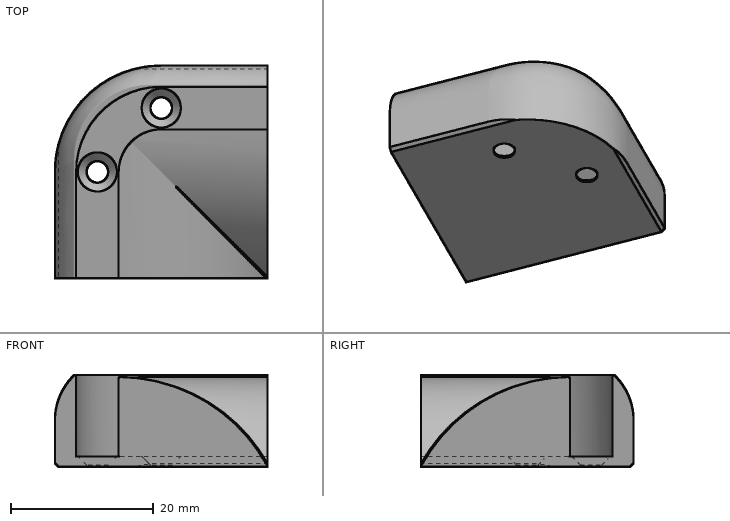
import cadquery as cq
import math

size = 29.98
height = 12.95
corner_radius = 15.0
bottom_chamfer = 0.5

shoulder_radius = 8.8
shoulder_start = 6.57
shoulder_sections = 6
center_shift = 0.63

wall = 3.0
channel_width = 6.0
floor = 1.5

island_inset = wall + channel_width
island_top = 12.65
island_tip = 0.1
edge_round = 0.18

hole_diameter = 3.0
countersink_diameter = 5.52
countersink_angle = 90


def outline(z, inset, center):
    """Square outline with one round corner, whose arc center is `center` from both outer sides."""
    radius = center - inset
    arc_mid = center - radius * math.sqrt(0.5)
    return (
        cq.Workplane("XY", origin=(0, 0, z))
        .moveTo(inset, 0)
        .lineTo(inset, size - center)
        .threePointArc((arc_mid, size - arc_mid), (center, size - inset))
        .lineTo(size, size - inset)
        .lineTo(size, 0)
        .close()
    )


def shoulder():
    """Upper body, curving inward around both outer sides and the corner."""
    wires = []
    for i in range(shoulder_sections):
        rise = (height - shoulder_start) * i / (shoulder_sections - 1)
        inset = shoulder_radius - math.sqrt(shoulder_radius**2 - rise**2)
        center = corner_radius - center_shift * inset
        wires.append(outline(shoulder_start + rise, inset, center).val())
    return cq.Workplane(cq.Solid.makeLoft(wires))


def across_diagonal(part):
    """Mirror across the diagonal through the round corner, swapping the two arms."""
    return part.mirror(cq.Vector(1, 1, 0), (size / 2, size / 2, 0))


def chamfer_strip():
    """Straight wedge that bevels the bottom edge of the x = 0 side."""
    return (
        cq.Workplane("XZ")
        .polyline([(0, 0), (bottom_chamfer, 0), (0, bottom_chamfer)])
        .close()
        .extrude(-size)
    )


def cove_wedge():
    """Prism whose top starts level at the channel and falls along an arc to the far side."""
    run = size - island_inset
    drop = island_top - island_tip
    radius = (run**2 + drop**2) / (2 * drop)
    half_angle = math.asin(run / radius) / 2
    arc_mid = (
        island_inset + radius * math.sin(half_angle),
        island_top - radius * (1 - math.cos(half_angle)),
    )
    return (
        cq.Workplane("XZ")
        .moveTo(island_inset, 0)
        .lineTo(island_inset, island_top)
        .threePointArc(arc_mid, (size, island_tip))
        .lineTo(size, 0)
        .close()
        .extrude(-size)
    )


def island():
    """Round-cornered block under two coves that meet in a diagonal valley."""
    wedge = cove_wedge()
    coves = wedge.union(across_diagonal(wedge))
    block = outline(0, island_inset, corner_radius).extrude(height).intersect(coves)
    rim = [edge for edge in block.edges().vals() if edge.BoundingBox().zmin > island_top - edge_round]
    valley = block.edges("%ELLIPSE").vals()
    return block.newObject(rim + valley).fillet(edge_round)


def outer_shell():
    """Rounded wall and channel floor, open where the island stands."""
    shell = outline(0, 0, corner_radius).extrude(shoulder_start).union(shoulder())
    shell = shell.cut(outline(floor, wall, corner_radius).extrude(height))
    shell = shell.cut(outline(0, island_inset, corner_radius).extrude(height))
    arc_mid = corner_radius - (corner_radius - wall) * math.sqrt(0.5)
    lip_points = [
        (wall, (size - corner_radius) / 2, height),
        (arc_mid, size - arc_mid, height),
        ((size + corner_radius) / 2, size - wall, height),
    ]
    lip = [shell.edges(cq.selectors.NearestToPointSelector(point)).val() for point in lip_points]
    shell = shell.newObject(lip).fillet(edge_round)
    strip = chamfer_strip()
    return shell.cut(strip).cut(across_diagonal(strip))


def screw_holes(part):
    """Countersunk through holes at both ends of the channel's corner bend."""
    offset = wall + channel_width / 2
    centers = [(offset, size - corner_radius), (corner_radius, size - offset)]
    return (
        part.copyWorkplane(cq.Workplane("XY", origin=(0, 0, floor)))
        .pushPoints(centers)
        .cskHole(hole_diameter, countersink_diameter, countersink_angle, depth=floor)
    )


result = screw_holes(outer_shell().union(island()))